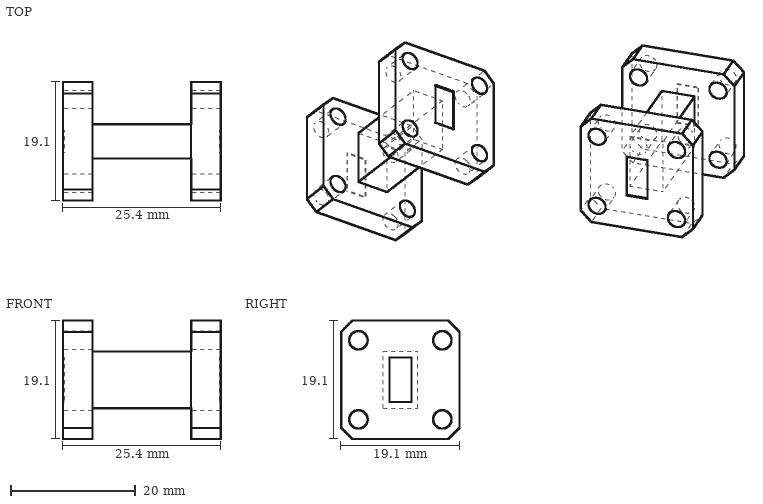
import cadquery as cq

length = 25.4
flange_side = 19.05
flange_thickness = 4.8
corner_chamfer = 1.83

tube_width = 5.55
tube_height = 9.17

hole_diameter = 2.92
hole_spacing_y = 13.45
hole_spacing_z = 12.7

recess_width = 3.55
recess_height = 7.1
recess_depth = 0.25


def flange(x_start):
    """Square plate with chamfered corners and four bolt holes, starting at x_start."""
    plate = (
        cq.Workplane("YZ", origin=(x_start, 0, 0))
        .rect(flange_side, flange_side)
        .extrude(flange_thickness)
        .edges("|X")
        .chamfer(corner_chamfer)
    )
    holes = (
        cq.Workplane("YZ", origin=(x_start, 0, 0))
        .rect(hole_spacing_y, hole_spacing_z, forConstruction=True)
        .vertices()
        .circle(hole_diameter / 2)
        .extrude(flange_thickness)
    )
    return plate.cut(holes)


tube = cq.Workplane("XY").box(length - 2 * flange_thickness, tube_width, tube_height)

recess_offset = (length - recess_depth) / 2
recesses = (
    cq.Workplane("XY")
    .pushPoints([(-recess_offset, 0), (recess_offset, 0)])
    .box(recess_depth, recess_width, recess_height)
)

result = (
    tube
    .union(flange(-length / 2))
    .union(flange(length / 2 - flange_thickness))
    .cut(recesses)
)